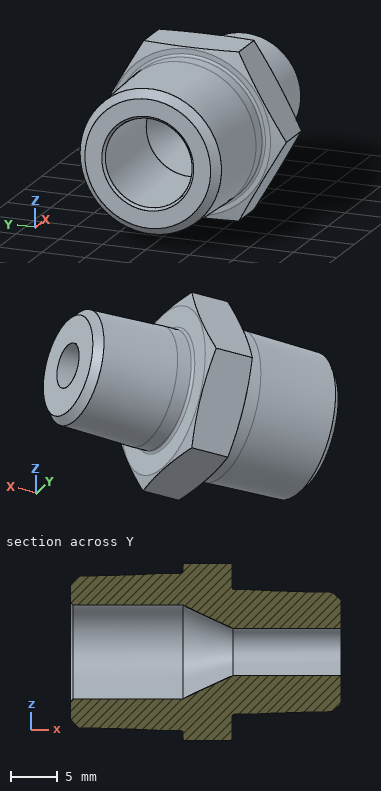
import cadquery as cq
import math

total_length = 29
hex_start = 12.05
hex_end = 17.35
hex_across_flats = 19.02
hex_across_corners = hex_across_flats / math.cos(math.radians(30))
hex_chamfer_angle = 15
hex_face_diameter = 18.68

thread_taper = 1 / 16
neck_fillet = 0.3
large_neck_diameter = 16.9
large_neck_start = 10.1
large_tip_diameter = 14.5
large_tip_chamfer = 0.85
small_neck_diameter = 13.4
small_neck_end = 19.28
small_tip_diameter = 11.16
small_tip_chamfer = 0.9

bore_diameter = 10.0
bore_depth = hex_start
bore_chamfer = 0.3
bore_cone_angle = 50
passage_diameter = 5.0


def revolve_about_x(points):
    """Revolve a closed outline of (x, radius) points about the X axis."""
    return cq.Workplane("XY").polyline(points).close().revolve(360, (0, 0, 0), (1, 0, 0))


def thread_end(tip_x, root_x, neck_x, tip_diameter, tip_chamfer, neck_diameter):
    """Tapered end from its chamfered tip to its neck, flared by a fillet at the root."""
    inward = math.copysign(1, root_x - tip_x)
    neck_radius = neck_diameter / 2
    taper_start = tip_x + inward * tip_chamfer
    taper_radius = neck_radius - abs(neck_x - taper_start) * thread_taper / 2
    fillet_start = root_x - inward * neck_fillet
    fillet_middle = neck_fillet * math.sqrt(0.5)
    outline = (
        cq.Workplane("XY")
        .moveTo(tip_x, 0)
        .lineTo(tip_x, tip_diameter / 2)
        .lineTo(taper_start, taper_radius)
        .lineTo(neck_x, neck_radius)
        .lineTo(fillet_start, neck_radius)
        .threePointArc(
            (fillet_start + inward * fillet_middle, neck_radius + neck_fillet - fillet_middle),
            (root_x, neck_radius + neck_fillet),
        )
        .lineTo(root_x, 0)
        .close()
    )
    return outline.revolve(360, (0, 0, 0), (1, 0, 0))


def hexagon():
    """Hexagon with corners on +Y and -Y, both ends turned to a shallow cone around a round face."""
    prism = (
        cq.Workplane("YZ", origin=(hex_start, 0, 0))
        .polygon(6, hex_across_corners)
        .extrude(hex_end - hex_start)
    )
    face_radius = hex_face_diameter / 2
    corner_radius = hex_across_corners / 2
    corner_drop = (corner_radius - face_radius) * math.tan(math.radians(hex_chamfer_angle))
    envelope = revolve_about_x([
        (hex_start, 0),
        (hex_start, face_radius),
        (hex_start + corner_drop, corner_radius),
        (hex_end - corner_drop, corner_radius),
        (hex_end, face_radius),
        (hex_end, 0),
    ])
    return prism.intersect(envelope)


def bore():
    """Chamfered bore with a conical floor that opens into a narrower through passage."""
    bore_radius = bore_diameter / 2
    passage_radius = passage_diameter / 2
    cone_length = (bore_radius - passage_radius) / math.tan(math.radians(bore_cone_angle / 2))
    return revolve_about_x([
        (0, 0),
        (0, bore_radius + bore_chamfer),
        (bore_chamfer, bore_radius),
        (bore_depth, bore_radius),
        (bore_depth + cone_length, passage_radius),
        (total_length, passage_radius),
        (total_length, 0),
    ])


large_end = thread_end(
    0, hex_start, large_neck_start, large_tip_diameter, large_tip_chamfer, large_neck_diameter
)
small_end = thread_end(
    total_length, hex_end, small_neck_end, small_tip_diameter, small_tip_chamfer, small_neck_diameter
)

body = hexagon().union(large_end).union(small_end).cut(bore())
result = body.translate((-total_length / 2, 0, 0))